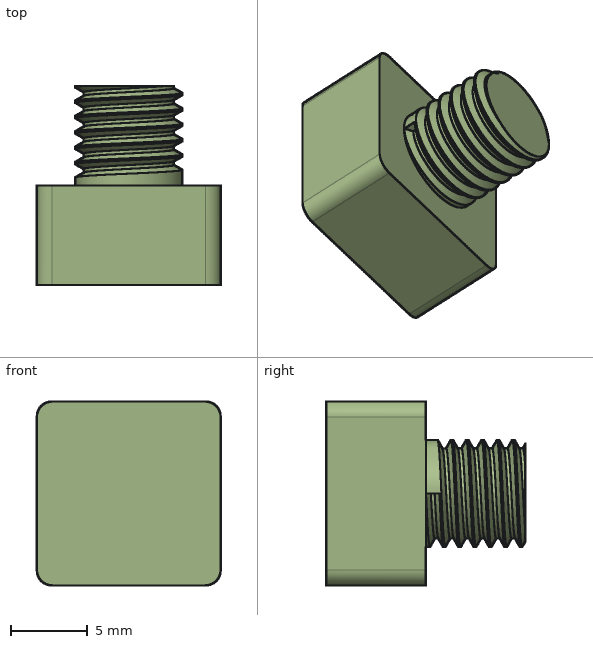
import cadquery as cq

total_length = 13.0
block_width = 12.0
block_depth = 6.5
corner_radius = 1.0
stud_diameter = 7.0
pitch = 1.0
thread_depth = 0.55
crest_flat = 0.13
root_flat = 0.25
groove_start = 0.45
cutter_overhang = 0.06

stud_length = total_length - block_depth
stud_radius = stud_diameter / 2
root_radius = stud_radius - thread_depth
groove_width = pitch - crest_flat
helix_height = stud_length - groove_start + pitch
blank_length = stud_length + 2 * pitch


def make_block():
    """Square head with rounded edges along Y."""
    return (
        cq.Workplane("XY")
        .box(block_width, block_depth, block_width, centered=(True, False, True))
        .edges("|Y")
        .fillet(corner_radius)
    )


def make_thread_groove():
    """Right-hand trapezoidal groove winding up +Z, starting on the +X side."""
    flank_slope = (groove_width - root_flat) / 2 / thread_depth
    half_root = root_flat / 2
    half_mouth = groove_width / 2 + flank_slope * cutter_overhang
    mouth_radius = stud_radius + cutter_overhang
    helix = cq.Wire.makeHelix(pitch, helix_height, root_radius)
    return (
        cq.Workplane("XZ")
        .polyline([
            (root_radius, -half_root),
            (mouth_radius, -half_mouth),
            (mouth_radius, half_mouth),
            (root_radius, half_root),
        ])
        .close()
        .sweep(cq.Workplane(helix), isFrenet=True)
        .translate((0, 0, groove_start))
    )


def make_stud():
    """Threaded stud, turned so that its axis runs along +Y from the block."""
    blank = cq.Workplane("XY").circle(stud_radius).extrude(blank_length)
    trim = cq.Workplane("XY").circle(stud_diameter).extrude(stud_length)
    return (
        blank
        .cut(make_thread_groove())
        .intersect(trim)
        .rotate((0, 0, 0), (1, 0, 0), -90)
        .translate((0, block_depth, 0))
    )


result = make_block().union(make_stud())